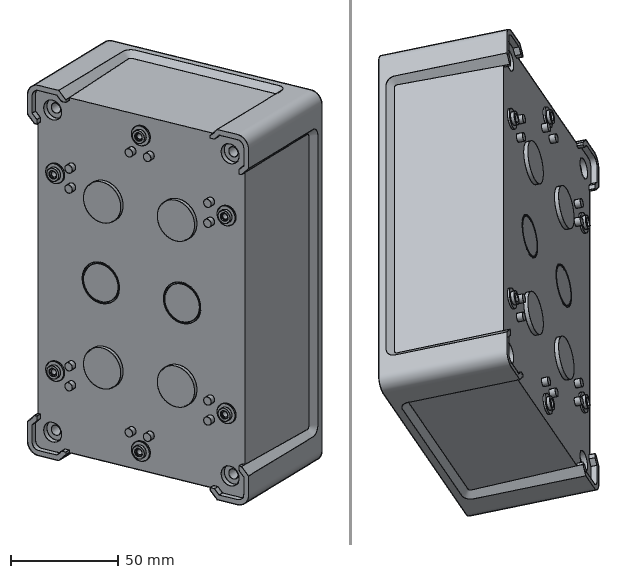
import cadquery as cq
import math

width = 122.2
depth = 63.8
height = 187.2
corner_radius = 6.2

front_y = -depth / 2
back_y = depth / 2
rim_height = 3.0
base_y = front_y + rim_height

recess_half_width = 43.8
recess_half_height = 77.7
recess_back_margin = 3.7
recess_corner_radius = 4.3
panel_depth_front = 4.0
panel_depth_back = 3.0
recess_wall_angle = 45.0

rim_thickness = 2.6
rim_hook_thickness = 1.3
pocket_corner_radius = corner_radius - rim_thickness

mount_x = 49.0
mount_z = 81.5
mount_hole_diameter = 5.0
mount_bore_diameter = 10.0
mount_bore_depth = 2.8

side_boss_x = 47.4
side_boss_z = 50.0
end_boss_z = 79.7
boss_base_diameter = 10.0
boss_base_height = 1.0
boss_collar_diameter = 6.5
boss_collar_height = 2.6
boss_sink_diameter = 4.1
boss_hole_diameter = 2.8
boss_sink_depth = 1.0
boss_hole_depth = 5.6
pin_diameter = 4.1
pin_inset = 9.0
pin_half_spacing = 5.0

disc_x = 20.4
disc_z = 42.0
disc_diameter = 20.5
disc_height = 2.0
groove_x = 22.5
groove_outer_diameter = 20.5
groove_inner_diameter = 19.1
groove_depth = 0.7

overshoot = 9.4


def base_plane(y):
    """Plane facing +Y at the given y; its local axes are X and -Z."""
    return cq.Workplane(cq.Plane(origin=(0, y, 0), xDir=(1, 0, 0), normal=(0, 1, 0)))


def cylinders(points, diameter, y_start, y_end):
    """Cylinders along Y at (x, z) points."""
    local_points = [(x, -z) for x, z in points]
    return base_plane(y_start).pushPoints(local_points).circle(diameter / 2).extrude(y_end - y_start)


def four_corners(x, z):
    return [(sx * x, sz * z) for sx in (-1, 1) for sz in (-1, 1)]


def panel_recess(half_length, face_distance):
    """Cutter for the +Z side: a sloping-walled recess, open at the base, with a tilted floor."""
    recess_back = back_y - recess_back_margin
    recess_front = front_y - overshoot
    walls = (
        cq.Workplane("XY", origin=(0, (recess_back + recess_front) / 2, face_distance))
        .sketch()
        .rect(2 * half_length, recess_back - recess_front)
        .vertices()
        .fillet(recess_corner_radius)
        .finalize()
        .extrude(-panel_depth_front, taper=recess_wall_angle)
    )
    above_floor = (
        cq.Workplane("YZ")
        .moveTo(recess_front, face_distance)
        .lineTo(recess_front, face_distance - panel_depth_front)
        .lineTo(front_y, face_distance - panel_depth_front)
        .lineTo(recess_back, face_distance - panel_depth_back)
        .lineTo(recess_back, face_distance)
        .close()
        .extrude(half_length, both=True)
    )
    return walls.intersect(above_floor)


def rim_pocket():
    """Cutter that lowers the base, leaving a hooked rim at each corner."""
    inner_x = width / 2 - rim_thickness
    inner_z = height / 2 - rim_thickness
    hook_x = width / 2 - panel_depth_front - rim_hook_thickness
    hook_z = height / 2 - panel_depth_front - rim_hook_thickness
    hook_end_x = recess_half_width - panel_depth_front
    hook_end_z = recess_half_height - panel_depth_front
    wall_shift = rim_thickness * math.sqrt(2)
    slope_x = recess_half_width + wall_shift
    slope_z = recess_half_height + wall_shift
    hook_step = panel_depth_front + rim_hook_thickness

    quadrant = (
        base_plane(front_y)
        .moveTo(0, 0)
        .lineTo(0, height / 2)
        .lineTo(hook_end_x, height / 2)
        .lineTo(hook_end_x, hook_z)
        .lineTo(slope_x - hook_step, hook_z)
        .lineTo(slope_x - rim_thickness, inner_z)
        .lineTo(inner_x - pocket_corner_radius, inner_z)
        .radiusArc((inner_x, inner_z - pocket_corner_radius), pocket_corner_radius)
        .lineTo(inner_x, slope_z - rim_thickness)
        .lineTo(hook_x, slope_z - hook_step)
        .lineTo(hook_x, hook_end_z)
        .lineTo(width / 2, hook_end_z)
        .lineTo(width / 2, 0)
        .close()
        .extrude(rim_height)
    )
    half = quadrant.union(quadrant.mirror("YZ"))
    return half.union(half.mirror("XY"))


body = cq.Workplane("XY").box(width, depth, height).edges("|Y").fillet(corner_radius)

end_recess = panel_recess(recess_half_width, height / 2)
side_recess = panel_recess(recess_half_height, width / 2)
for cutter, angles in ((end_recess, (0, 180)), (side_recess, (90, 270))):
    for angle in angles:
        body = body.cut(cutter.rotate((0, 0, 0), (0, 1, 0), angle))

body = body.cut(rim_pocket())

mount_points = four_corners(mount_x, mount_z)
body = body.cut(cylinders(mount_points, mount_hole_diameter, front_y, back_y))
body = body.cut(cylinders(mount_points, mount_bore_diameter, base_y, base_y + mount_bore_depth))

boss_points = four_corners(side_boss_x, side_boss_z) + [(0, end_boss_z), (0, -end_boss_z)]
collar_y = base_y - boss_collar_height
body = body.union(cylinders(boss_points, boss_base_diameter, base_y - boss_base_height, base_y))
body = body.union(cylinders(boss_points, boss_collar_diameter, collar_y, base_y))
body = body.cut(cylinders(boss_points, boss_sink_diameter, collar_y, collar_y + boss_sink_depth))
body = body.cut(cylinders(boss_points, boss_hole_diameter, collar_y, collar_y + boss_hole_depth))

side_pin_x = side_boss_x - pin_inset
end_pin_z = end_boss_z - pin_inset
pin_points = four_corners(pin_half_spacing, end_pin_z)
for offset in (-pin_half_spacing, pin_half_spacing):
    pin_points += four_corners(side_pin_x, side_boss_z + offset)
body = body.union(cylinders(pin_points, pin_diameter, front_y, base_y))

body = body.union(cylinders(four_corners(disc_x, disc_z), disc_diameter, base_y - disc_height, base_y))

groove_points = [(-groove_x, 0), (groove_x, 0)]
groove_y = base_y + groove_depth
groove_disc = cylinders(groove_points, groove_outer_diameter, base_y, groove_y)
groove_core = cylinders(groove_points, groove_inner_diameter, base_y, groove_y)
body = body.cut(groove_disc.cut(groove_core))

result = body